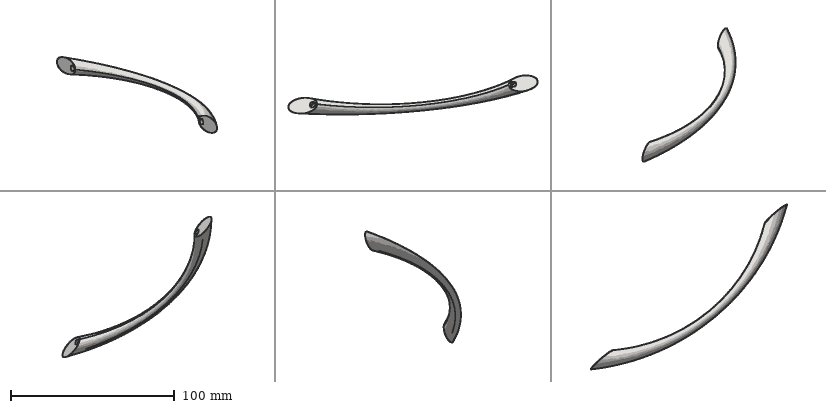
import cadquery as cq
import math

length = 159.0
rise = 24.6
foot_length = 18.5
foot_height = 10.2
grip_depth = 5.1
grip_height = 5.2
section_count = 17

hole_spacing = 128.0
hole_diameter = 3.5
hole_depth = 3.2
hole_tip_angle = 118.0


def arc_radius(half_chord, sagitta):
    """Radius of the arc with the given half chord and sagitta."""
    return (half_chord ** 2 + sagitta ** 2) / (2 * sagitta)


outer_radius = arc_radius(length / 2, rise)
outer_center_y = rise - outer_radius
inner_rise = rise - grip_depth
inner_radius = arc_radius(length / 2 - foot_length, inner_rise)
inner_center_y = inner_rise - inner_radius
mid_grip_y = rise - grip_depth / 2


def distance_to_arc(radius, center_y, direction):
    """Distance from the origin to an arc centred on the Y axis, along a unit direction."""
    along = direction.y * center_y
    return along + math.sqrt(along ** 2 + radius ** 2 - center_y ** 2)


def bow_section(arc_angle):
    """Ellipse between the inner and outer arcs, in a plane through the Z axis."""
    outer_point = cq.Vector(
        outer_radius * math.sin(arc_angle),
        outer_center_y + outer_radius * math.cos(arc_angle),
        0,
    )
    direction = outer_point.normalized()
    outer_distance = outer_point.Length
    inner_distance = distance_to_arc(inner_radius, inner_center_y, direction)
    center = direction * ((outer_distance + inner_distance) / 2)
    height = foot_height + (grip_height - foot_height) * center.y / mid_grip_y
    plane = cq.Plane(
        origin=center,
        xDir=-direction,
        normal=direction.cross(cq.Vector(0, 0, 1)),
    )
    outline = cq.Workplane(plane).ellipse((outer_distance - inner_distance) / 2, height / 2)
    return outline.wires().val()


def bow():
    """Loft from foot to foot; the end sections lie flat on the plane Y = 0."""
    end_angle = math.asin(length / 2 / outer_radius)
    step = 2 * end_angle / (section_count - 1)
    sections = [bow_section(-end_angle + i * step) for i in range(section_count)]
    return cq.Workplane(cq.Solid.makeLoft(sections))


def screw_hole(x):
    """Blind drilled hole with a conical bottom, entering the foot along +Y."""
    radius = hole_diameter / 2
    tip_depth = radius / math.tan(math.radians(hole_tip_angle / 2))
    profile = cq.Workplane("XY").polyline([
        (x, 0),
        (x + radius, 0),
        (x + radius, hole_depth),
        (x, hole_depth + tip_depth),
    ]).close()
    return profile.revolve(360, (x, 0, 0), (x, 1, 0))


result = bow()
for side in (-1, 1):
    result = result.cut(screw_hole(side * hole_spacing / 2))